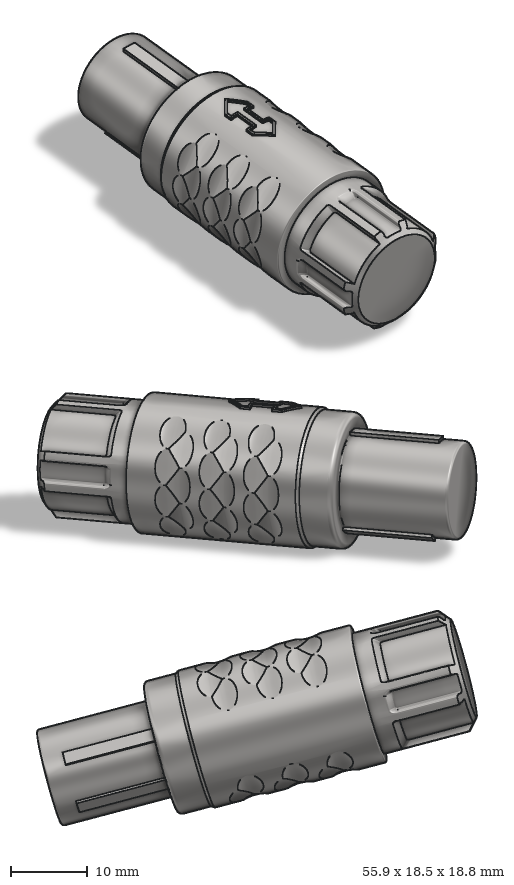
import cadquery as cq
collar_start = 15.05
collar_end = 19.45
sleeve_start = 19.9
sleeve_end = 43.05
overall_length = 55.9

plug_radius = 6.5
sleeve_radius = 18.5 / 2
collar_radius = sleeve_radius - 0.3
neck_radius = sleeve_radius - 1.1
pocket_floor_radius = 7.2
nut_end_radius = 6.6

tip_round = 0.4
plug_root_round = 0.2
collar_round = 0.65
sleeve_round = 0.2

key_angles = (0, 150, -150)
key_start = 2.9
key_widths = (1.95, 1.7, 1.7)
key_top = 6.9

scallop_angle = 30.0
scallop_half_width = 1.7
scallop_depth = 0.35
scallop_groups = 3
group_pitch = 6.05
first_row = 23.85
row_offset = 1.5

arrow_centre = 26.9
arrow_half_length = 5.0
arrow_half_width = 1.95
arrow_flat_half_length = 2.8
arrow_shoulder = 1.5
arrow_shaft_half_width = 0.9
arrow_height = 0.3
arrow_rim_width = 0.35

recess_count = 4
recess_ramp_end = 46.45
pocket_sweep = 51.0
slot_width = 2.7
recess_round = 0.35
slot_floor_round = 0.3
nut_chamfer_start = 54.55

margin = 1.1
cutter_radius = sleeve_radius + margin
cutter_end = overall_length + margin


def turned(points, sweep=360):
    """Solid swept about X, starting at +Y, from a closed (x, radius) outline."""
    return cq.Workplane("XY").polyline(points).close().revolve(sweep, (0, 0, 0), (1, 0, 0))


def about_axis(body, angle):
    return body.rotate((0, 0, 0), (1, 0, 0), angle)



def shell_blank():
    """Turned outline with rounded edges."""
    return (
        cq.Workplane("XY")
        .moveTo(0, 0)
        .lineTo(0, plug_radius - tip_round)
        .radiusArc((tip_round, plug_radius), tip_round)
        .lineTo(collar_start - plug_root_round, plug_radius)
        .radiusArc((collar_start, plug_radius + plug_root_round), -plug_root_round)
        .lineTo(collar_start, collar_radius - collar_round)
        .radiusArc((collar_start + collar_round, collar_radius), collar_round)
        .lineTo(collar_end, collar_radius)
        .lineTo(sleeve_start, sleeve_radius)
        .lineTo(sleeve_end - sleeve_round, sleeve_radius)
        .radiusArc((sleeve_end, sleeve_radius - sleeve_round), sleeve_round)
        .lineTo(sleeve_end, 0)
        .close()
        .revolve(360, (0, 0, 0), (1, 0, 0))
    )


def plug_keys():
    """Flat-topped keys running from near the tip to the collar."""
    key_length = collar_start - key_start
    keys = []
    for width, angle in zip(key_widths, key_angles):
        key = cq.Workplane("XY").box(key_length, width, key_top, centered=(False, True, False))
        keys.append(about_axis(key.translate((key_start, 0, 0)), angle))
    return keys


def scallop_cutter(x, angle):
    """Cylinder across X that dents the sleeve; angle is measured from +Y."""
    radius = (scallop_half_width**2 + scallop_depth**2) / (2 * scallop_depth)
    cutter = cq.Workplane("XY").center(x, sleeve_radius - scallop_depth + radius).circle(radius)
    return about_axis(cutter.extrude(sleeve_radius, both=True), angle)


def cut_scallops(body):
    """Rows of three and four dents, interleaved, on the +Y and -Y sides."""
    rows = [(0, (-1, 0, 1)), (row_offset, (-1.5, -0.5, 0.5, 1.5))]
    for group in range(scallop_groups):
        for offset, steps in rows:
            x = first_row + group * group_pitch + offset
            for side in (0, 180):
                for step in steps:
                    body = body.cut(scallop_cutter(x, side + step * scallop_angle))
    return body


def arrow_points():
    """Double arrow outline about its own centre, counter-clockwise from the +X tip."""
    quarter = [
        (arrow_half_length, 0),
        (arrow_flat_half_length, arrow_half_width),
        (arrow_shoulder, arrow_half_width),
        (arrow_shoulder, arrow_shaft_half_width),
    ]
    upper = quarter + [(-x, y) for x, y in reversed(quarter)]
    lower = [(-x, -y) for x, y in upper[1:-1]]
    return upper + lower


def arrow_rim():
    """Raised outline of a double arrow, its top concentric with the sleeve."""
    base = cq.Workplane("XY", origin=(arrow_centre, 0, sleeve_radius - margin))
    outer = base.polyline(arrow_points()).close().extrude(2 * margin)
    inner = base.polyline(arrow_points()).close().offset2D(-arrow_rim_width, "intersection")
    envelope = cq.Workplane("YZ").circle(sleeve_radius + arrow_height).extrude(overall_length)
    return outer.cut(inner.extrude(2 * margin)).intersect(envelope)


shell = shell_blank()
for key in plug_keys():
    shell = shell.union(key)
shell = cut_scallops(shell)
shell = shell.union(arrow_rim())



def recess_space(sweep):
    """Space outside the recess floor, entered over a 45 degree ramp."""
    ramp_rise = cutter_radius - pocket_floor_radius
    return turned([
        (recess_ramp_end, pocket_floor_radius),
        (cutter_end, pocket_floor_radius),
        (cutter_end, cutter_radius),
        (recess_ramp_end - ramp_rise, cutter_radius),
    ], sweep)


def pocket_cutter():
    """Wide pocket with radial walls, centred between two slots, its ramp rounded into both walls."""
    cutter = recess_space(pocket_sweep).faces("%CONE").edges("%LINE").fillet(recess_round)
    return about_axis(cutter, (360 / recess_count - pocket_sweep) / 2)


def slot_cutter():
    """Narrow slot along +Z with rounded ramp corners and floor edges."""
    block = cq.Workplane("XY").box(cutter_end, slot_width, cutter_radius, centered=(False, True, False))
    cutter = recess_space(360).intersect(block)
    cutter = cutter.faces("%CONE").edges("%HYPERBOLA or %BSPLINE").fillet(recess_round)
    return cutter.faces("%CYLINDER").faces("<Z").edges("not >X").fillet(slot_floor_round)


def cut_slot(nut):
    """Cut the slot into the top of the nut and round its mouth."""
    mouth = cq.selectors.BoxSelector(
        (sleeve_end, -slot_width, neck_radius - recess_round),
        (overall_length - margin, slot_width, cutter_radius),
    )
    nut = nut.cut(slot_cutter())
    return nut.edges(mouth).fillet(recess_round)


def nut_body():
    nut = cq.Workplane("YZ", origin=(sleeve_end, 0, 0)).circle(neck_radius)
    nut = nut.extrude(overall_length - sleeve_end)
    for _ in range(recess_count):
        nut = cut_slot(nut).cut(pocket_cutter())
        nut = about_axis(nut, 360 / recess_count)
    end_cone = turned([
        (nut_chamfer_start, neck_radius),
        (overall_length, nut_end_radius),
        (overall_length, neck_radius),
    ])
    return nut.cut(end_cone)


nut = nut_body()

result = cq.Compound.makeCompound([shell.val(), nut.val()])